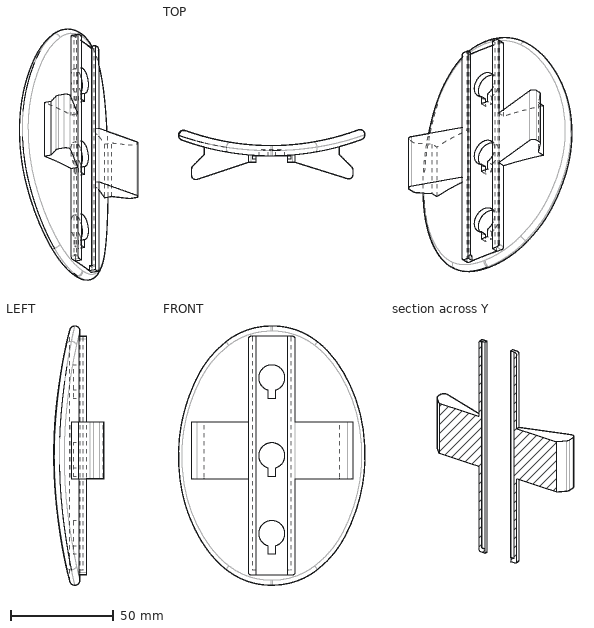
import cadquery as cq
import math

plate_height = 127.0
plate_width = 91.36
plate_thickness = 5.08
bend_radius = 127.7
bend_axis_x = -0.4
front_gap = 0.08
rim_land = 0.04
rim_radius = (plate_thickness - rim_land) / 2

end_flat_half = 0.4
end_radius = 35.2
end_arc_x = 22.2
shoulder_x = 37.5
shoulder_z = 36.3

track_width = 22.86
track_height = 116.84
track_corner_radius = 1.27
rail_height = 3.15
channel_width = 15.24
undercut_depth = 1.905
undercut_height = 1.4
undercut_stop = 2.54

keyhole_pitch = 38.1
keyhole_diameter = 12.7
keyhole_slot_width = 3.81
keyhole_slot_reach = 10.16
keyhole_depth = 3.3

wing_height = 27.94
wing_center_z = 2.54
wing_root_x = 33.1
wing_notch_y = 0.7
wing_tip_radius = 2.15
wing_hook_radius = 2.5
left_tip_x = 39.3
left_tip_y = -11.6
right_tip_x = 39.8
right_tip_y = -11.25


def oval_profile():
    """Oval in the XZ plane: arcs at top and bottom joined by one smooth curve down each side."""
    half_width = plate_width / 2
    half_height = plate_height / 2
    end_center_z = half_height - end_radius

    junction_cos = (end_arc_x - end_flat_half) / end_radius
    junction_sin = math.sqrt(1 - junction_cos**2)
    junction_z = end_center_z + end_radius * junction_sin
    mid_angle = (math.acos(junction_cos) + math.pi / 2) / 2
    mid_x = end_flat_half + end_radius * math.cos(mid_angle)
    mid_z = end_center_z + end_radius * math.sin(mid_angle)

    profile = cq.Workplane("XZ").moveTo(-end_flat_half, half_height)
    for turn in (1, -1):
        profile = profile.lineTo(turn * end_flat_half, turn * half_height)
        profile = profile.threePointArc(
            (turn * mid_x, turn * mid_z),
            (turn * end_arc_x, turn * junction_z),
        )
        profile = profile.spline(
            [
                (turn * shoulder_x, turn * shoulder_z),
                (turn * half_width, 0),
                (turn * shoulder_x, -turn * shoulder_z),
                (turn * end_arc_x, -turn * junction_z),
            ],
            tangents=[
                (turn * junction_sin, -turn * junction_cos),
                None,
                (0, -turn),
                None,
                (-turn * junction_sin, -turn * junction_cos),
            ],
            includeCurrent=True,
        )
        profile = profile.threePointArc(
            (turn * mid_x, -turn * mid_z),
            (turn * end_flat_half, -turn * half_height),
        )
    return profile.close()


def make_plate():
    """Tube wall cut to the oval outline, with its rim rounded over on both faces."""
    bend_axis_y = front_gap + bend_radius
    tube = (
        cq.Workplane("XY", origin=(bend_axis_x, bend_axis_y, -plate_height))
        .circle(bend_radius)
        .circle(bend_radius - plate_thickness)
        .extrude(2 * plate_height)
    )
    oval = oval_profile().extrude(-bend_axis_y)
    plate = tube.intersect(oval)
    return round_rim(plate)


def round_rim(plate):
    """Round the edges of the two large faces, front and back."""
    smallest_main_face = plate_width * plate_height / 2
    main_faces = [
        face for face in plate.faces("%CYLINDER").vals() if face.Area() > smallest_main_face
    ]
    rim_edges = [edge for face in main_faces for edge in face.Edges()]
    return plate.newObject(rim_edges).fillet(rim_radius)


def make_track():
    """Rounded block carrying both rails; its root is buried in the plate."""
    root = plate_thickness / 2
    return (
        cq.Workplane("XZ", origin=(0, root, 0))
        .rect(track_width, track_height)
        .extrude(root + rail_height)
        .edges("|Y")
        .fillet(track_corner_radius)
    )


def make_channel():
    """Open channel between the rails plus the undercut, which is open only at the top."""
    channel = cq.Workplane("XZ").rect(channel_width, plate_height).extrude(2 * rail_height)
    undercut_bottom = -track_height / 2 + undercut_stop
    undercut = (
        cq.Workplane("XZ", origin=(0, 0, undercut_bottom))
        .rect(channel_width + 2 * undercut_depth, plate_height)
        .extrude(undercut_height)
        .translate((0, 0, plate_height / 2))
    )
    return channel.union(undercut)


def make_keyhole(center_z):
    """Blind round hole with a narrower slot running down from it."""
    start = cq.Workplane("XZ", origin=(0, 0, center_z))
    hole = start.circle(keyhole_diameter / 2).extrude(-keyhole_depth)
    slot = (
        start.center(0, -keyhole_slot_reach / 2)
        .rect(keyhole_slot_width, keyhole_slot_reach)
        .extrude(-keyhole_depth)
    )
    return hole.union(slot)


def plate_middle_y(x):
    """Y of the plate's mid-surface at a given X."""
    middle_radius = bend_radius - plate_thickness / 2
    drop = math.sqrt(middle_radius**2 - (x - bend_axis_x) ** 2)
    return front_gap + bend_radius - drop


def make_wing(side, tip_x, tip_y):
    """Hooked wing on one side (-1 left, +1 right), from the rail edge out to a rounded tip."""
    rail_x = track_width / 2
    arc_x = tip_x - wing_tip_radius
    arc_y = tip_y + wing_tip_radius
    run = arc_x - rail_x
    fall = arc_y + rail_height
    slope = math.atan2(fall, run) - math.asin(wing_tip_radius / math.hypot(run, fall))
    corner_y = -rail_height + (tip_x - rail_x) * math.tan(slope)
    shoulder_y = wing_notch_y - (tip_x - wing_root_x)

    outline = [
        (side * rail_x, plate_middle_y(side * rail_x)),
        (side * rail_x, -rail_height),
        (side * tip_x, corner_y),
        (side * tip_x, shoulder_y),
        (side * wing_root_x, wing_notch_y),
        (side * wing_root_x, plate_middle_y(side * wing_root_x)),
    ]
    wing = (
        cq.Workplane("XY", origin=(0, 0, wing_center_z - wing_height / 2))
        .polyline(outline)
        .close()
        .extrude(wing_height)
    )
    outer_side = ">X" if side > 0 else "<X"
    wing = wing.faces(outer_side).edges("|Z and <Y").fillet(wing_tip_radius)
    return wing.faces(outer_side).edges("|Z and >Y").fillet(wing_hook_radius)


result = make_plate().union(make_track())
result = result.union(make_wing(-1, left_tip_x, left_tip_y))
result = result.union(make_wing(1, right_tip_x, right_tip_y))
result = result.cut(make_channel())
for row in (-1, 0, 1):
    result = result.cut(make_keyhole(row * keyhole_pitch))